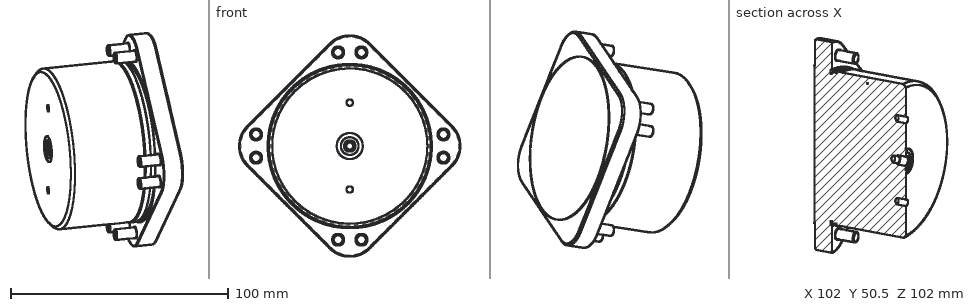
import cadquery as cq
import math


width = 102.0
corner_radius = 12.9
flange_back = 0.4
flange_front = 10.0
back_edge_chamfer = 0.8
front_edge_chamfer = 0.3

back_disc_diameter = 76.0

recess_mouth_diameter = 75.8
recess_diameter = 74.8
recess_depth = 1.0

neck_diameter = 71.4
seal_bead_diameter = 73.7
seal_bead_radius = 1.4
seal_bead_depth = 10.9
collar_diameter = 75.0
collar_back = 11.9
collar_front = 15.0
collar_bevel_depth = 0.5
body_diameter = 74.6
collar_bevel_width = (collar_diameter - body_diameter) / 2
body_front = 50.1
body_chamfer = 1.5

pin_diameter = 5.0
pin_tip_chamfer = 0.4
pin_front = 19.6
pin_spacing = 10.7
pin_pair_radius = 43.1
pin_recess_diameter = 5.5
pin_recess_depth = 0.3

overall_depth = 50.5
seal_outer_diameter = 12.0
seal_inner_diameter = 8.2

center_hole_diameter = 4.3
center_mouth_diameter = 5.2
center_drill_diameter = 3.3
center_hole_depth = 4.6
center_drill_depth = 7.1
side_hole_diameter = 3.0
side_hole_depth = 5.1
side_hole_radius = 20.0
drill_point_half_angle = 59.0


def disc(diameter, back, front, x=0.0, z=0.0):
    """Cylinder along Y between two depths."""
    plane = cq.Workplane("XZ", origin=(x, -back, z))
    return plane.circle(diameter / 2).extrude(front - back)


def countersink(mouth_diameter, hole_diameter, face_depth):
    """Cutter for a 45 degree bevel around the mouth of a hole on the axis."""
    mouth_radius = mouth_diameter / 2
    hole_radius = hole_diameter / 2
    bevel = mouth_radius - hole_radius
    mouth_center = cq.Vector(0, -face_depth, 0)
    cone = cq.Solid.makeCone(mouth_radius, hole_radius, bevel, mouth_center, cq.Vector(0, 1, 0))
    return cq.Workplane(cone)


def drilled_hole(diameter, depth, z=0.0):
    """Cutter for a hole in the front face, ending in a drill point."""
    radius = diameter / 2
    point_length = radius / math.tan(math.radians(drill_point_half_angle))
    bottom = -body_front + depth
    profile = (
        cq.Workplane("XY")
        .moveTo(0, -overall_depth)
        .lineTo(radius, -overall_depth)
        .lineTo(radius, bottom)
        .lineTo(0, bottom + point_length)
        .close()
    )
    return profile.revolve(360, (0, 0, 0), (0, 1, 0)).translate((0, 0, z))


def ring(center_radius, depth, tube_radius):
    """Torus around the Y axis, with its seam on the inner side."""
    plane = cq.Plane(origin=(center_radius, -depth, 0), xDir=(-1, 0, 0), normal=(0, 0, 1))
    profile = cq.Workplane(plane).circle(tube_radius)
    return profile.revolve(360, (center_radius, 0, 0), (center_radius, 1, 0))


def make_flange():
    thickness = flange_front - flange_back
    arc_center = width / 2 - corner_radius
    square_side = math.sqrt(2) * arc_center + 2 * corner_radius
    flange = (
        cq.Workplane("XZ", origin=(0, -flange_back, 0))
        .transformed(rotate=(0, 0, 45))
        .rect(square_side, square_side)
        .extrude(thickness)
        .edges("|Y")
        .fillet(corner_radius)
    )
    flange = flange.faces(">Y").chamfer(back_edge_chamfer)
    flange = flange.faces("<Y").chamfer(front_edge_chamfer)
    flange = flange.cut(disc(recess_diameter, flange_front - recess_depth, flange_front))
    flange = flange.cut(countersink(recess_mouth_diameter, recess_diameter, flange_front))
    return flange.union(disc(back_disc_diameter, 0, flange_front - recess_depth))


def make_body():
    neck = disc(neck_diameter, flange_back, collar_back)
    bead = ring(seal_bead_diameter / 2 - seal_bead_radius, seal_bead_depth, seal_bead_radius)
    collar = disc(collar_diameter, collar_back, collar_front)
    collar = collar.faces("<Y").chamfer(collar_bevel_depth, collar_bevel_width)
    barrel = disc(body_diameter, collar_back, body_front).faces("<Y").chamfer(body_chamfer)
    return neck.union(bead).union(collar).union(barrel)


def add_pins(part):
    for angle in (0, 90, 180, 270):
        for offset in (-pin_spacing / 2, pin_spacing / 2):
            recess = disc(pin_recess_diameter, flange_front - pin_recess_depth, flange_front,
                          offset, pin_pair_radius)
            pin = disc(pin_diameter, flange_front - pin_recess_depth, pin_front,
                       offset, pin_pair_radius)
            pin = pin.faces("<Y").chamfer(pin_tip_chamfer)
            part = part.cut(recess.rotate((0, 0, 0), (0, 1, 0), angle))
            part = part.union(pin.rotate((0, 0, 0), (0, 1, 0), angle))
    return part


def add_seal(part):
    tube_radius = (seal_outer_diameter - seal_inner_diameter) / 4
    center_radius = (seal_outer_diameter + seal_inner_diameter) / 4
    depth = overall_depth - tube_radius
    groove = disc(seal_outer_diameter, depth, body_front).cut(disc(seal_inner_diameter, depth, body_front))
    return part.cut(groove).union(ring(center_radius, depth, tube_radius))


def cut_holes(part):
    center_hole = disc(center_hole_diameter, body_front - center_hole_depth, body_front)
    part = part.cut(center_hole)
    part = part.cut(drilled_hole(center_drill_diameter, center_drill_depth))
    for z in (-side_hole_radius, side_hole_radius):
        part = part.cut(drilled_hole(side_hole_diameter, side_hole_depth, z))
    return part.cut(countersink(center_mouth_diameter, center_hole_diameter, body_front))


result = cut_holes(add_seal(add_pins(make_flange().union(make_body()))))